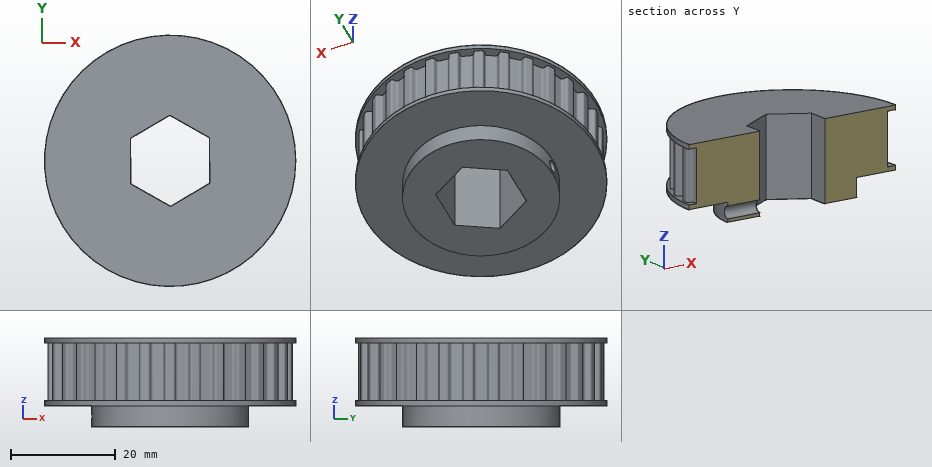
import cadquery as cq
import math

FLANGE_DIAMETER = 48.0
FLANGE_THICKNESS = 1.0
BELT_WIDTH = 11.0
HUB_DIAMETER = 30.0
HUB_HEIGHT = 4.0

TOOTH_COUNT = 30
RIM_DIAMETER = 46.8
GROOVE_DEPTH = 1.2
GROOVE_FLOOR_WIDTH = 2.2
FLANK_ANGLE = 22.0
GROOVE_ROUNDING = 0.445

HEX_ACROSS_FLATS = 15.0
HALF_HEX_STEP = 360 / 6 / 2
SCREW_HOLE_DIAMETER = 2.5
BORE_TURN = 0.5

LOWER_FLANGE_Z = HUB_HEIGHT
RIM_Z = LOWER_FLANGE_Z + FLANGE_THICKNESS
UPPER_FLANGE_Z = RIM_Z + BELT_WIDTH
TOTAL_HEIGHT = UPPER_FLANGE_Z + FLANGE_THICKNESS


def disc(diameter, bottom, height):
    return cq.Workplane("XY").workplane(offset=bottom).circle(diameter / 2).extrude(height)


def groove_cutter():
    """One belt groove on the -X side, with rounded floor corners, reaching out past the rim."""
    floor_x = RIM_DIAMETER / 2 - GROOVE_DEPTH
    outer_x = FLANGE_DIAMETER / 2
    floor_y = GROOVE_FLOOR_WIDTH / 2
    outer_y = floor_y + (outer_x - floor_x) * math.tan(math.radians(FLANK_ANGLE))
    outline = [
        (-outer_x, -outer_y),
        (-floor_x, -floor_y),
        (-floor_x, floor_y),
        (-outer_x, outer_y),
    ]
    cutter = cq.Workplane("XY").workplane(offset=RIM_Z).polyline(outline).close().extrude(BELT_WIDTH)
    return cutter.faces(">X").edges("|Z").fillet(GROOVE_ROUNDING)


def is_groove_mouth(edge):
    """True for an edge that lies on the outer surface of the rim."""
    center = edge.Center()
    return math.isclose(math.hypot(center.x, center.y), RIM_DIAMETER / 2, rel_tol=1e-4)


def toothed_rim():
    cutter = groove_cutter()
    rim = disc(RIM_DIAMETER, RIM_Z, BELT_WIDTH)
    for index in range(TOOTH_COUNT):
        rim = rim.cut(cutter.rotate((0, 0, 0), (0, 0, 1), index * 360 / TOOTH_COUNT))
    return rim.edges("|Z").filter(is_groove_mouth).fillet(GROOVE_ROUNDING)


def hex_bore():
    """Through bore with two flats facing -X and +X, apart from the small turn."""
    across_corners = HEX_ACROSS_FLATS / math.cos(math.radians(HALF_HEX_STEP))
    bore = cq.Workplane("XY").polygon(6, across_corners).extrude(TOTAL_HEIGHT)
    return bore.rotate((0, 0, 0), (0, 0, 1), HALF_HEX_STEP + BORE_TURN)


def screw_hole():
    """Radial hole through the -X wall of the hub into the bore."""
    hole = (
        cq.Workplane("YZ")
        .center(0, HUB_HEIGHT / 2)
        .circle(SCREW_HOLE_DIAMETER / 2)
        .extrude(-HUB_DIAMETER / 2)
    )
    return hole.rotate((0, 0, 0), (0, 0, 1), BORE_TURN)


result = (
    disc(HUB_DIAMETER, 0, HUB_HEIGHT)
    .union(disc(FLANGE_DIAMETER, LOWER_FLANGE_Z, FLANGE_THICKNESS))
    .union(toothed_rim())
    .union(disc(FLANGE_DIAMETER, UPPER_FLANGE_Z, FLANGE_THICKNESS))
    .cut(hex_bore())
    .cut(screw_hole())
)